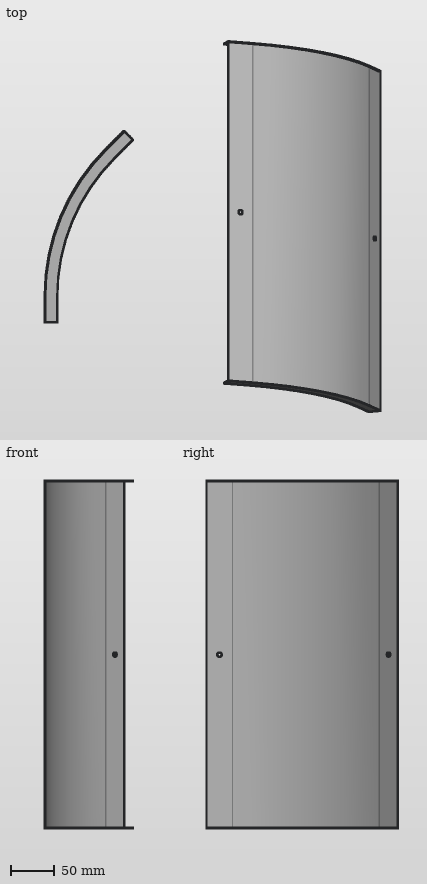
import cadquery as cq
import math

height = 402.0
sheet = 1.0
flange_depth = 15.0
strip_length = 30.0
outer_radius = 240.5
bend_angle = 45.0
hole_diameter = 5.0

angle = math.radians(bend_angle)
bend_start = strip_length
bend_center_x = outer_radius


def bend_point(offset, turn):
    """Point on the bend, offset inward from the outer face, after turning by an angle."""
    radius = outer_radius - offset
    return (bend_center_x - radius * math.cos(turn), bend_start + radius * math.sin(turn))


def far_strip_point(offset, distance):
    """Point on the far flat strip, a distance past the end of the bend."""
    x, y = bend_point(offset, angle)
    return (x + distance * math.sin(angle), y + distance * math.cos(angle))


def curved_plate(width, thickness, base_z):
    """Plate following the bent path, from the outer face inward by the given width."""
    return (
        cq.Workplane("XY", origin=(0, 0, base_z))
        .moveTo(0, 0)
        .lineTo(*bend_point(0, 0))
        .threePointArc(bend_point(0, angle / 2), bend_point(0, angle))
        .lineTo(*far_strip_point(0, strip_length))
        .lineTo(*far_strip_point(width, strip_length))
        .lineTo(*bend_point(width, angle))
        .threePointArc(bend_point(width, angle / 2), bend_point(width, 0))
        .lineTo(width, 0)
        .close()
        .extrude(thickness)
    )


def strip_hole(point, inward):
    """Cutter through the sheet at mid height, square to the flat strip."""
    start = cq.Vector(point[0], point[1], height / 2)
    direction = cq.Vector(*inward)
    cutter = cq.Solid.makeCylinder(
        hole_diameter / 2, 4 * sheet, start - direction * sheet, direction
    )
    return cq.Workplane(cutter)


result = curved_plate(sheet, height, 0)
for flange_z in (0, height - sheet):
    result = result.union(curved_plate(flange_depth, sheet, flange_z))

near_hole = strip_hole((0, strip_length / 2), (1, 0, 0))
far_hole = strip_hole(
    far_strip_point(0, strip_length / 2), (math.cos(angle), -math.sin(angle), 0)
)
result = result.cut(near_hole).cut(far_hole)